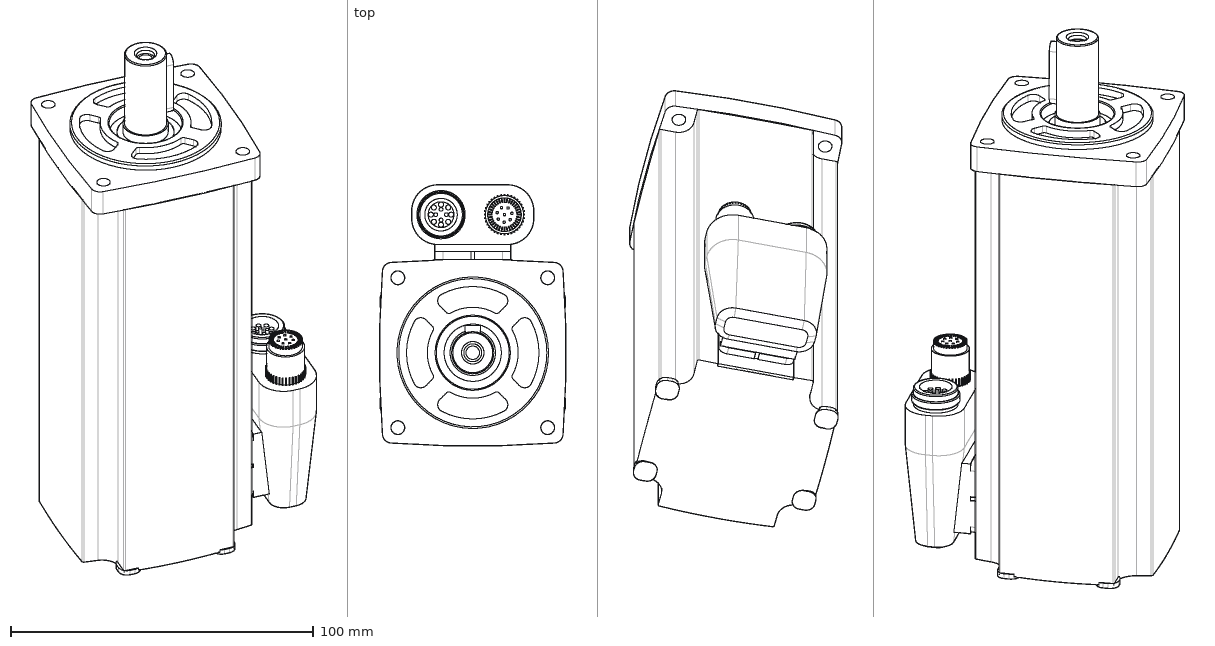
import cadquery as cq


shaft_top = 185.8
flange_top = 156.0
pilot_top = 158.3
flange_bottom = 147.1

flange_corner = 29.7
flange_bulge = 30.93
flange_corner_radius = 3.2
bolt_offset = 24.8
bolt_hole = 4.5
pilot_diameter = 50.2
pilot_chamfer = 0.5
recess_diameter = 24.2
recess_floor = 154.0
recess_chamfer = 0.4
seal_diameter = 19.0
seal_height = 0.5

pocket_outer = 22.0
pocket_inner = 15.0
pocket_depth = 2.5
rib_width = 6.5
pocket_outer_fillet = 2.5
pocket_inner_fillet = 1.1

shaft_diameter = 14.0
collar_diameter = 15.0
collar_top = 158.0
shaft_chamfer = 0.4
centre_rim = 7.5
centre_seat = 6.0
centre_seat_depth = 2.0
centre_bore = 4.5
centre_depth = 10.0
key_width = 5.0
key_outer = 9.01
key_bottom = 161.0
key_top = 183.2

body_corner = 30.0
body_bulge = 30.5
tongue_half = 19.7
edge_fillet = 0.5
corner_reach = 1.0
dome_radius = 265.7
foot_size = 7.6
foot_fillet = 3.0
foot_x = 27.0
foot_y = 16.81
foot_bottom = 1.3
foot_top = 3.07
pad_width = 25.6
pad_top = 43.3

shell_width = 40.5
shell_inner = 35.76
shell_outer = 55.65
shell_top = 53.0
shell_knee = 38.6
shell_flat = 2.5
tip_height = 4.0
tip_width = 33.6
tip_inner = 39.4
tip_outer = 52.2
base_height = 2.6
base_width = 27.9
base_inner = 42.2
base_outer = 49.5
neck_size = 25.3
plate_height = 25.8
plate_middle = 20.8
plate_outer = 33.5
plate_corner = 2.8
groove_width = 1.3
groove_depth = 0.4

socket_x = 10.5
socket_y = (shell_inner + shell_outer) / 2

power_diameter = 14.9
power_top = 59.3
power_ring_diameter = 16.0
power_ring_bottom = 54.0
power_ring_top = 57.0
power_chamfer = 0.4
power_cup_diameter = 10.8
power_cup_floor = 53.1
power_core_diameter = 8.5
power_core_top = 54.6
power_pin_top = 57.2
power_outer_pins = 8
power_outer_circle = 6.7
power_outer_pin = 1.65
power_inner_pins = 4
power_inner_circle = 3.5
power_inner_pin = 1.25

signal_fin_diameter = 13.4
signal_fin_top = 55.7
signal_diameter = 12.6
signal_step = 64.1
signal_top_diameter = 11.1
signal_top = 66.9
signal_face_diameter = 8.2
signal_holes = 7
signal_hole_circle = 5.0
signal_hole_diameter = 0.8
signal_hole_depth = 1.9
signal_first_angle = 10
knurl_count = 36
knurl_width = 0.28
knurl_depth = 0.4


def column(x, y, diameter, bottom, top):
    """Upright cylinder between two heights."""
    return cq.Workplane("XY", origin=(x, y, bottom)).circle(diameter / 2).extrude(top - bottom)


def turned(profile):
    """Solid of revolution about the shaft axis from (radius, height) points."""
    return cq.Workplane("XZ").polyline(profile).close().revolve(360, (0, 0, 0), (0, 1, 0))


def bulged_square(corner, bulge, bottom, top):
    """Square prism whose four sides bow outward."""
    return (
        cq.Workplane("XY", origin=(0, 0, bottom))
        .moveTo(-corner, -corner)
        .threePointArc((0, -bulge), (corner, -corner))
        .threePointArc((bulge, 0), (corner, corner))
        .threePointArc((0, bulge), (-corner, corner))
        .threePointArc((-bulge, 0), (-corner, -corner))
        .close()
        .extrude(top - bottom)
    )


def make_flange():
    """Bolted front flange with its pilot, shaft recess and seal."""
    flange = bulged_square(flange_corner, flange_bulge, flange_bottom, flange_top)
    flange = flange.edges("|Z").fillet(flange_corner_radius)
    pilot = column(0, 0, pilot_diameter, flange_top, pilot_top).faces(">Z").edges().chamfer(pilot_chamfer)
    flange = flange.union(pilot)
    rim, wall = recess_diameter / 2 + recess_chamfer, recess_diameter / 2
    flange = flange.cut(turned([
        (0, pilot_top),
        (rim, pilot_top),
        (wall, pilot_top - recess_chamfer),
        (wall, recess_floor),
        (0, recess_floor),
    ]))
    flange = flange.union(column(0, 0, seal_diameter, recess_floor, recess_floor + seal_height))
    for x in (-bolt_offset, bolt_offset):
        for y in (-bolt_offset, bolt_offset):
            flange = flange.cut(column(x, y, bolt_hole, flange_bottom, flange_top))
    return flange.cut(make_pockets())


def make_pockets():
    """Four ring sectors, parted by straight ribs along the diagonals."""
    bottom = pilot_top - pocket_depth
    ring = column(0, 0, 2 * pocket_outer, bottom, pilot_top)
    ring = ring.cut(column(0, 0, 2 * pocket_inner, bottom, pilot_top))
    for angle in (45, 135):
        rib = cq.Workplane("XY", origin=(0, 0, bottom)).rect(pilot_diameter, rib_width).extrude(pocket_depth)
        ring = ring.cut(rib.rotate((0, 0, 0), (0, 0, 1), angle))
    half = pocket_inner
    inner_corners = cq.selectors.BoxSelector((-half, -half, bottom), (half, half, pilot_top))
    ring = ring.edges("|Z").edges(-inner_corners).fillet(pocket_outer_fillet)
    return ring.edges("|Z").edges(inner_corners).fillet(pocket_inner_fillet)


def make_shaft():
    """Shaft with collar, round-ended key on the +Y side and a centre hole."""
    shaft = column(0, 0, shaft_diameter, collar_top, shaft_top).faces(">Z").edges().chamfer(shaft_chamfer)
    shaft = shaft.union(column(0, 0, collar_diameter, recess_floor, collar_top))
    rim, seat, bore = centre_rim / 2, centre_seat / 2, centre_bore / 2
    seat_top = shaft_top - (rim - seat)
    centre = turned([
        (0, shaft_top),
        (rim, shaft_top),
        (seat, seat_top),
        (seat, shaft_top - centre_seat_depth),
        (bore, shaft_top - centre_seat_depth),
        (bore, shaft_top - centre_depth),
        (0, shaft_top - centre_depth - bore),
    ])
    key_length = key_top - key_bottom
    key = (
        cq.Workplane("XZ", origin=(0, 0, (key_top + key_bottom) / 2))
        .slot2D(key_length, key_width, 90)
        .extrude(-key_outer)
    )
    return shaft.union(key).cut(centre)


def make_body():
    """Housing with notched corners, domed rear end, four feet and the connector pad."""
    body = bulged_square(body_corner, body_bulge, 0, flange_bottom)
    notch_radius = bolt_offset - tongue_half
    far = 2 * body_bulge
    for angle in range(0, 360, 90):
        notch = (
            cq.Workplane("XY")
            .moveTo(tongue_half, far)
            .lineTo(tongue_half, bolt_offset)
            .radiusArc((bolt_offset, tongue_half), -notch_radius)
            .lineTo(far, tongue_half)
            .lineTo(far, far)
            .close()
            .extrude(flange_bottom)
        )
        body = body.cut(notch.rotate((0, 0, 0), (0, 0, 1), angle))
    for sx in (-1, 1):
        for sy in (-1, 1):
            for x, y in ((tongue_half, body_corner), (body_corner, tongue_half)):
                low = (sx * x - corner_reach, sy * y - corner_reach, 0)
                high = (sx * x + corner_reach, sy * y + corner_reach, flange_bottom)
                body = body.edges("|Z").edges(cq.selectors.BoxSelector(low, high)).fillet(edge_fillet)
    dome = cq.Workplane("XY", origin=(0, 0, dome_radius)).sphere(dome_radius)
    body = body.intersect(dome)
    for x in (-foot_x, foot_x):
        for y in (-foot_y, foot_y):
            foot = cq.Workplane("XY", origin=(x, y, foot_bottom)).rect(foot_size, foot_size)
            foot = foot.extrude(foot_top - foot_bottom).edges("|Z").fillet(foot_fillet)
            body = body.union(foot)
    pad = (
        cq.Workplane("XY", origin=(0, (body_corner + flange_bulge) / 2, foot_bottom))
        .rect(pad_width, flange_bulge - body_corner)
        .extrude(pad_top - foot_bottom)
    )
    return body.union(pad)


def obround(width, inner, outer, height):
    """Level wire with rounded ends between two Y positions; each end keeps a short straight."""
    radius = (outer - inner - shell_flat) / 2
    side = width / 2
    straight = side - radius
    return (
        cq.Workplane("XY", origin=(0, 0, height))
        .moveTo(-straight, inner)
        .lineTo(straight, inner)
        .radiusArc((side, inner + radius), -radius)
        .lineTo(side, outer - radius)
        .radiusArc((straight, outer), -radius)
        .lineTo(-straight, outer)
        .radiusArc((-side, outer - radius), -radius)
        .lineTo(-side, inner + radius)
        .radiusArc((-straight, inner), -radius)
        .close()
        .val()
    )


def make_shell():
    """Connector housing: straight above the knee, tapered below it, with a bevelled tip."""
    levels = [
        obround(base_width, base_inner, base_outer, base_height),
        obround(tip_width, tip_inner, tip_outer, tip_height),
        obround(shell_width, shell_inner, shell_outer, shell_knee),
        obround(shell_width, shell_inner, shell_outer, shell_top),
    ]
    return cq.Workplane(cq.Solid.makeLoft(levels, True))


def make_base():
    """Square neck and a grooved plate with rounded corners that carry the connector housing."""

    def block(inner, outer, width, height):
        work = cq.Workplane("XZ", origin=(0, inner, plate_middle))
        return work.rect(width, height).extrude(inner - outer)

    neck = block(plate_outer, socket_y, neck_size, neck_size)
    plate = block(body_corner, plate_outer, neck_size, plate_height).edges("|Y").fillet(plate_corner)
    core_width = neck_size - 2 * groove_depth
    core_height = plate_height - 2 * groove_depth
    rim = plate.cut(block(body_corner, plate_outer, core_width, core_height))
    for width, height in ((groove_width, plate_height), (neck_size, groove_width)):
        plate = plate.cut(rim.intersect(block(body_corner, plate_outer, width, height)))
    return neck.union(plate)


def pin_ring(x, count, circle, diameter, bottom, top, first_angle):
    """Upright pins evenly spaced on a circle around a socket's axis."""
    pins = cq.Workplane("XY", origin=(x, socket_y, bottom))
    return pins.polarArray(circle / 2, first_angle, 360, count).circle(diameter / 2).extrude(top - bottom)


def make_power_socket():
    """Wide ringed socket on the -X side with pins in a cup."""
    x = -socket_x
    barrel = column(x, socket_y, power_diameter, shell_top, power_top)
    ring = column(x, socket_y, power_ring_diameter, power_ring_bottom, power_ring_top)
    socket = barrel.faces(">Z").chamfer(power_chamfer).union(ring.edges().chamfer(power_chamfer))
    socket = socket.cut(column(x, socket_y, power_cup_diameter, power_cup_floor, power_top))
    socket = socket.union(column(x, socket_y, power_core_diameter, power_cup_floor, power_core_top))
    for count, circle, diameter in (
        (power_outer_pins, power_outer_circle, power_outer_pin),
        (power_inner_pins, power_inner_circle, power_inner_pin),
    ):
        socket = socket.union(pin_ring(x, count, circle, diameter, power_core_top, power_pin_top, 0))
    return socket


def fin_ring(inner, outer, bottom, top):
    """Thin radial blades around the axis of the signal socket."""
    blades = cq.Workplane("XY", origin=(socket_x, socket_y, bottom))
    middle, length = (inner + outer) / 4, (outer - inner) / 2
    return blades.polarArray(middle, 0, 360, knurl_count).rect(length, knurl_width).extrude(top - bottom)


def make_signal_socket():
    """Tall stepped socket on the +X side with a finned foot, a notched rim and small contact holes."""
    x = socket_x
    socket = column(x, socket_y, signal_diameter, shell_top, signal_step)
    socket = socket.union(column(x, socket_y, signal_top_diameter, signal_step, signal_top))
    hole_bottom = signal_top - signal_hole_depth
    socket = socket.cut(column(x, socket_y, signal_hole_diameter, hole_bottom, signal_top))
    socket = socket.cut(pin_ring(x, signal_holes, signal_hole_circle, signal_hole_diameter,
                                 hole_bottom, signal_top, signal_first_angle))
    socket = socket.union(fin_ring(signal_top_diameter, signal_fin_diameter, shell_top, signal_fin_top))
    return socket.cut(fin_ring(signal_face_diameter, signal_diameter, signal_top - knurl_depth, signal_top))


result = make_body().union(make_flange()).union(make_shaft())
result = result.union(make_shell()).union(make_base()).union(make_power_socket()).union(make_signal_socket())